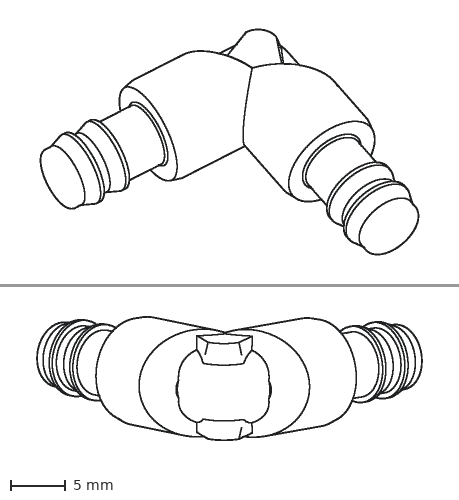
import cadquery as cq
import math

collar_radius = 5.0
arm_length = 27 - collar_radius

collar_end = 12.05
collar_end_radius = 4.72
collar_chamfer_length = 1.08

stem_radius = 3.0
barb_radius = 3.5
root_chamfer = 0.22
barb_starts = (16.45, 19.2)
barb_flat = 0.4
barb_ramp = 1.38
tip_round = 0.35

elbow_radius = 3.6
elbow_reach = 4.05
miter_angle = 60
miter_offset = 3.1
shoulder_taper = 50
shoulder_height = 2.43

pad_height = 4.48
pad_depth = 2.97
pad_draft = 15
pad_corner_radius = 1.985
pad_side_length = 3.35
pad_side_angle = 25
pad_inner_corner = 1.97


def make_barb():
    """Stem with two barb rings, revolved about the X axis."""
    profile = (
        cq.Workplane("XY")
        .moveTo(elbow_reach, 0)
        .lineTo(elbow_reach, stem_radius + root_chamfer)
        .lineTo(collar_end, stem_radius + root_chamfer)
        .lineTo(collar_end + root_chamfer, stem_radius)
    )
    for start in barb_starts:
        profile = (
            profile.lineTo(start, stem_radius)
            .lineTo(start, barb_radius)
            .lineTo(start + barb_flat, barb_radius)
            .lineTo(start + barb_flat + barb_ramp, stem_radius)
        )
    profile = (
        profile.lineTo(arm_length - tip_round, stem_radius)
        .radiusArc((arm_length, stem_radius - tip_round), tip_round)
        .lineTo(arm_length, 0)
        .close()
    )
    return profile.revolve(360, (0, 0, 0), (1, 0, 0))


def make_collar():
    """Chamfered cylinder, cut obliquely and closed by a tapered elliptical shoulder."""
    collar = (
        cq.Workplane("XY")
        .moveTo(-collar_radius, 0)
        .lineTo(-collar_radius, collar_radius)
        .lineTo(collar_end - collar_chamfer_length, collar_radius)
        .lineTo(collar_end, collar_end_radius)
        .lineTo(collar_end, 0)
        .close()
        .revolve(360, (0, 0, 0), (1, 0, 0))
    )
    slope = math.radians(miter_angle)
    miter_plane = cq.Plane(
        origin=(miter_offset, 0, 0),
        xDir=(math.cos(slope), math.sin(slope), 0),
        normal=(-math.sin(slope), math.cos(slope), 0),
    )
    waste_size = 6 * collar_radius
    waste = cq.Workplane(miter_plane).rect(waste_size, waste_size).extrude(waste_size)
    shoulder = (
        cq.Workplane(miter_plane)
        .ellipse(collar_radius / math.sin(slope), collar_radius)
        .extrude(shoulder_height, taper=shoulder_taper)
    )
    return collar.cut(waste).union(shoulder)


def make_arm():
    elbow_cylinder = cq.Workplane("YZ").circle(elbow_radius).extrude(elbow_reach)
    return make_collar().union(make_barb()).union(elbow_cylinder)


def across_diagonal(body):
    """Mirror a body across the plane y = -x, swapping the two arms."""
    return body.rotate((0, 0, 0), (0, 0, 1), -90).mirror("YZ")


def make_pad():
    """Upper pad, widening downward from its flat top."""
    slope = math.radians(pad_side_angle)
    side_run = pad_side_length * math.cos(slope)
    side_end = pad_corner_radius - pad_side_length * math.sin(slope)
    corner_mid = pad_corner_radius * math.sqrt(0.5)
    return (
        cq.Workplane("XY", origin=(0, 0, pad_height))
        .moveTo(-pad_corner_radius, 0)
        .threePointArc((-corner_mid, corner_mid), (0, pad_corner_radius))
        .lineTo(side_run, side_end)
        .lineTo(pad_inner_corner, -pad_inner_corner)
        .lineTo(-side_end, -side_run)
        .close()
        .extrude(-pad_depth, taper=-pad_draft)
    )


arm = make_arm()
pad = make_pad()
result = (
    arm.union(across_diagonal(arm))
    .union(cq.Workplane("XY").sphere(elbow_radius))
    .union(pad)
    .union(pad.mirror("XY"))
)